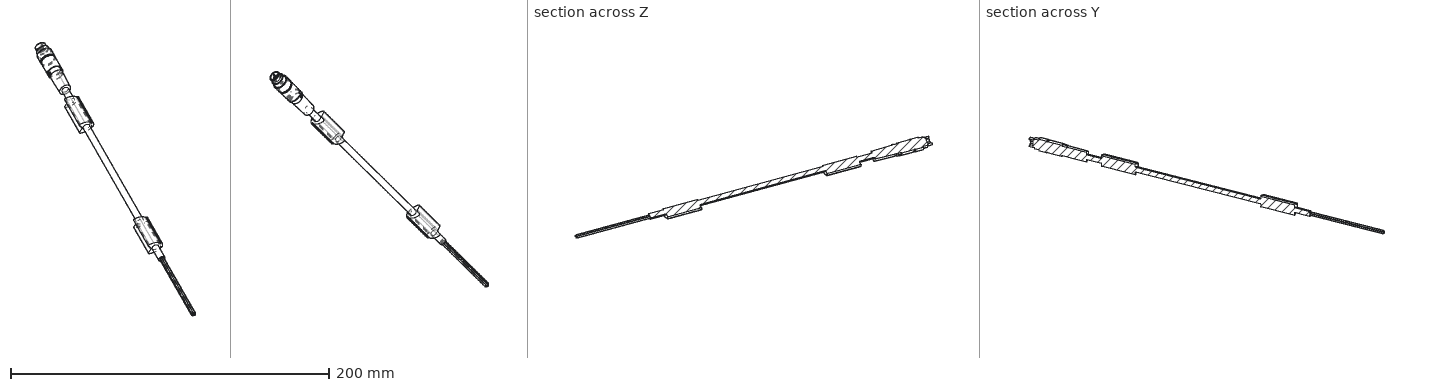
import cadquery as cq
import math

TOTAL_LENGTH = 238.7
PLUG_FACE_X = -TOTAL_LENGTH / 2
NOSE_LENGTH = 3.4
SHOULDER_LENGTH = 3.0
COLLAR_LENGTH = 5.3
COLLAR_GROOVE_LENGTH = 0.8
BODY_LENGTH = 9.6
NECK_LENGTH = 3.2
BOOT_LENGTH = 13.3
COLLAR_END = NOSE_LENGTH + SHOULDER_LENGTH + COLLAR_LENGTH
BODY_END = COLLAR_END + COLLAR_GROOVE_LENGTH + BODY_LENGTH
BOOT_START = BODY_END + NECK_LENGTH
BOOT_END = BOOT_START + BOOT_LENGTH
CABLE_END = 189.0
WIRE_INSULATION_END = 238.1
JOINT_OVERLAP = 1.0

NOSE_RADIUS = 3.5
SHOULDER_RADIUS = 4.25
COLLAR_RADIUS = 5.0
COLLAR_GROOVE_RADIUS = 4.5
BODY_RADIUS = 4.85
NECK_RADIUS = 4.15
BOOT_RADIUS = 4.25
BOOT_END_HALF_WIDTH = 3.8

SOCKET_RADIUS = 2.75
SOCKET_DEPTH = 2.5
PIN_RADIUS = 0.5
PIN_LENGTH = 2.0
PIN_CIRCLE_RADIUS = 1.7
PIN_ANGLES = (65, 180, 295)

TAB_LENGTH = 2.2
TAB_HALF_HEIGHT = 2.2
WINDOW_LENGTH = 2.2
WINDOW_HALF_HEIGHT = 1.1
WINDOW_OVERLAP = 1.0
WINDOW_DEPTH = 0.5

CABLE_RADIUS = 2.2
WIRE_RADIUS = 0.65
CONDUCTOR_RADIUS = 0.35

CLIP_LENGTH = 23.0
CLIP_STARTS = (48.5, 155.7)
CLIP_HALF_HEIGHT = 4.75
CLIP_BACK_RADIUS = 5.16
CLIP_TIP_Y = -4.7
JAW_TIP_RADIUS = 1.0
JAW_LEAD_ANGLE = 31
MOUTH_ROOT_RADIUS = 1.36
CROWN_RADIUS = 8.8
FLANK_START_Y = -1.0
FLANK_START_ANGLE = 6
FLANK_RADIUS = 7.1
FLANK_END_ANGLE = 40
HEEL_RADIUS = 3.4
HEEL_END_ANGLE = 75
LIP_OUTER_Y = 4.65


def rod(start, length, radius, y=0.0, z=0.0):
    """Round bar along X, its start measured from the plug face."""
    plane = cq.Workplane("YZ", origin=(PLUG_FACE_X + start, y, z))
    return plane.circle(radius).extrude(length)


def make_plug():
    """Stepped round plug, from the mating nose to the strain-relief boot."""
    steps = (
        (NOSE_LENGTH, NOSE_RADIUS),
        (SHOULDER_LENGTH, SHOULDER_RADIUS),
        (COLLAR_LENGTH, COLLAR_RADIUS),
        (COLLAR_GROOVE_LENGTH, COLLAR_GROOVE_RADIUS),
        (BODY_LENGTH, BODY_RADIUS),
        (NECK_LENGTH, NECK_RADIUS),
    )
    plug = make_boot()
    start = 0.0
    for length, radius in steps:
        plug = plug.union(rod(start, length, radius))
        start += length
    plug = plug.union(make_tabs())
    plug = cut_windows(plug)
    return make_contacts(plug)


def make_tabs():
    """Two tabs at +Y and -Y carrying the body surface back over the neck."""
    ring = rod(BODY_END, TAB_LENGTH, BODY_RADIUS)
    band = cq.Workplane("XY").box(TOTAL_LENGTH, 2 * BODY_RADIUS, 2 * TAB_HALF_HEIGHT)
    return ring.intersect(band)


def cut_windows(plug):
    """Shallow rectangular recess across the root of each latch tab."""
    centre_x = PLUG_FACE_X + BODY_END - WINDOW_OVERLAP + WINDOW_LENGTH / 2
    for side in (-1, 1):
        window = cq.Workplane("XY").box(WINDOW_LENGTH, 2 * WINDOW_DEPTH, 2 * WINDOW_HALF_HEIGHT)
        plug = plug.cut(window.translate((centre_x, side * BODY_RADIUS, 0)))
    return plug


def make_boot():
    """Boot narrowing in Y from a circle to an ellipse."""
    return (
        cq.Workplane("YZ", origin=(PLUG_FACE_X + BOOT_START, 0, 0))
        .circle(BOOT_RADIUS)
        .workplane(offset=BOOT_LENGTH)
        .ellipse(BOOT_END_HALF_WIDTH, BOOT_RADIUS)
        .loft()
    )


def make_contacts(plug):
    """Socket bored into the mating face, with pins standing on its floor."""
    plug = plug.cut(rod(0, SOCKET_DEPTH, SOCKET_RADIUS))
    for angle in PIN_ANGLES:
        y = PIN_CIRCLE_RADIUS * math.cos(math.radians(angle))
        z = PIN_CIRCLE_RADIUS * math.sin(math.radians(angle))
        plug = plug.union(rod(SOCKET_DEPTH - PIN_LENGTH, PIN_LENGTH, PIN_RADIUS, y, z))
    return plug


def make_cable():
    """Cable jacket, rooted inside the boot."""
    start = BOOT_END - JOINT_OVERLAP
    return rod(start, CABLE_END - start, CABLE_RADIUS)


def make_wires():
    """Four insulated wires leaving the cable, each with a short bare tip."""
    start = CABLE_END - JOINT_OVERLAP
    tip_length = TOTAL_LENGTH - WIRE_INSULATION_END
    wires = cq.Workplane("YZ")
    for y in (-WIRE_RADIUS, WIRE_RADIUS):
        for z in (-WIRE_RADIUS, WIRE_RADIUS):
            wires = wires.add(rod(start, WIRE_INSULATION_END - start, WIRE_RADIUS, y, z))
            wires = wires.add(rod(WIRE_INSULATION_END, tip_length, CONDUCTOR_RADIUS, y, z))
    return wires.combine()


def arc_point(centre, radius, angle):
    """Point in YZ on a circle, the angle in degrees turning from +Z toward +Y."""
    turn = math.radians(angle)
    return (centre[0] + radius * math.sin(turn), centre[1] + radius * math.cos(turn))


def arc_centre(point, radius, angle):
    """Centre of the circle that has `point` at the given angle."""
    return arc_point(point, -radius, angle)


def make_clip(start):
    """Snap-on marker clip: V-mouthed jaws at -Y and a lipped, curved back at +Y."""
    crown_y = FLANK_START_Y - CROWN_RADIUS * math.sin(math.radians(FLANK_START_ANGLE))
    crown_centre = (crown_y, CLIP_HALF_HEIGHT - CROWN_RADIUS)
    tip_to_crown = CROWN_RADIUS - JAW_TIP_RADIUS
    tip_end_angle = math.degrees(math.asin((CLIP_TIP_Y + JAW_TIP_RADIUS - crown_y) / tip_to_crown))
    tip_centre = arc_point(crown_centre, tip_to_crown, tip_end_angle)
    mouth = arc_point(tip_centre, JAW_TIP_RADIUS, -90 - JAW_LEAD_ANGLE)
    tip = arc_point(tip_centre, JAW_TIP_RADIUS, -90)
    tip_end = arc_point(tip_centre, JAW_TIP_RADIUS, tip_end_angle)
    jaw_top = arc_point(crown_centre, CROWN_RADIUS, 0)
    flank_start = arc_point(crown_centre, CROWN_RADIUS, FLANK_START_ANGLE)

    lead = math.radians(JAW_LEAD_ANGLE)
    root_end_z = MOUTH_ROOT_RADIUS * math.sin(lead)
    root_end = (mouth[0] + (mouth[1] - root_end_z) * math.tan(lead), root_end_z)
    root_centre = arc_centre(root_end, MOUTH_ROOT_RADIUS, 90 - JAW_LEAD_ANGLE)
    root = arc_point(root_centre, MOUTH_ROOT_RADIUS, 90)
    root_mid = arc_point(root_centre, MOUTH_ROOT_RADIUS, 90 - JAW_LEAD_ANGLE / 2)

    flank_centre = arc_centre(flank_start, FLANK_RADIUS, FLANK_START_ANGLE)
    flank_mid = arc_point(flank_centre, FLANK_RADIUS, (FLANK_START_ANGLE + FLANK_END_ANGLE) / 2)
    flank_end = arc_point(flank_centre, FLANK_RADIUS, FLANK_END_ANGLE)
    heel_centre = arc_centre(flank_end, HEEL_RADIUS, FLANK_END_ANGLE)
    heel_mid = arc_point(heel_centre, HEEL_RADIUS, (FLANK_END_ANGLE + HEEL_END_ANGLE) / 2)
    heel_end = arc_point(heel_centre, HEEL_RADIUS, HEEL_END_ANGLE)

    lip_angle = math.degrees(math.asin(LIP_OUTER_Y / CLIP_BACK_RADIUS))
    lip_outer = arc_point((0, 0), CLIP_BACK_RADIUS, lip_angle)
    back_mid = arc_point((0, 0), CLIP_BACK_RADIUS, (lip_angle + 90) / 2)

    half = (
        cq.Workplane("YZ", origin=(PLUG_FACE_X + start, 0, 0))
        .moveTo(*root)
        .threePointArc(root_mid, root_end)
        .lineTo(*mouth)
        .threePointArc(tip, tip_end)
        .threePointArc(jaw_top, flank_start)
        .threePointArc(flank_mid, flank_end)
        .threePointArc(heel_mid, heel_end)
        .lineTo(heel_end[0], lip_outer[1])
        .lineTo(*lip_outer)
        .threePointArc(back_mid, (CLIP_BACK_RADIUS, 0))
        .close()
        .extrude(CLIP_LENGTH)
    )
    return half.union(half.mirror("XY"))


result = make_plug().union(make_cable()).union(make_wires())
for clip_start in CLIP_STARTS:
    result = result.union(make_clip(clip_start))